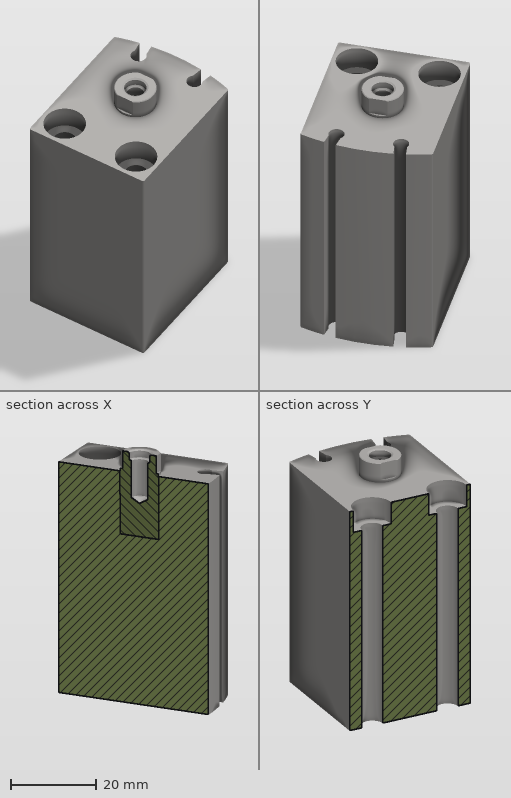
import cadquery as cq
import math

total_height = 62.0
rod_protrusion = 5.0
housing_height = total_height - rod_protrusion
housing_width = 32.0
housing_length = 39.0
back_y = 18.0
front_y = back_y - housing_length
back_radius = 52.1
edge_fillet = 0.45

slot_x = 7.8
slot_depth = 6.5
slot_channel_dia = 3.8
slot_neck_width = 3.0
slot_tilt = 9.0

mount_x = 10.0
mount_y = -15.0
mount_dia = 5.5
mount_head_dia = 10.0
mount_head_depth = 5.6

rod_dia = 10.0
rod_insertion = 15.5
rod_length = rod_protrusion + rod_insertion
rod_bottom_z = housing_height - rod_insertion
rod_chamfer = 0.2
flat_spacing = 8.9
flat_base_height = 0.7
bore_mouth_dia = 6.2
bore_wide_dia = 5.3
bore_drill_dia = 4.15
bore_wide_depth = 1.85
bore_drill_depth = 11.15
bore_cone_angle = 120.0


def make_slot_cutter(side):
    """Sensor slot on one side (-1 or +1), its neck leaning outward towards the back."""
    channel_y = back_y - slot_depth + slot_channel_dia / 2
    neck_length = 2 * slot_depth
    channel = cq.Workplane("XY").circle(slot_channel_dia / 2).extrude(housing_height)
    neck = (
        cq.Workplane("XY")
        .center(0, neck_length / 2)
        .rect(slot_neck_width, neck_length)
        .extrude(housing_height)
    )
    cutter = channel.union(neck)
    cutter = cutter.rotate((0, 0, 0), (0, 0, 1), -side * slot_tilt)
    return cutter.translate((side * slot_x, channel_y, 0))


def make_housing():
    """Block with a curved back, filleted upright edges, slots, mounting holes and rod bore."""
    half_width = housing_width / 2
    arc_drop = back_radius - math.sqrt(back_radius**2 - half_width**2)
    shoulder_y = back_y - arc_drop
    body = (
        cq.Workplane("XY")
        .moveTo(-half_width, front_y)
        .lineTo(half_width, front_y)
        .lineTo(half_width, shoulder_y)
        .threePointArc((0, back_y), (-half_width, shoulder_y))
        .close()
        .extrude(housing_height)
        .edges("|Z")
        .fillet(edge_fillet)
    )
    for side in (-1, 1):
        body = body.cut(make_slot_cutter(side))

    mount_points = [(-mount_x, mount_y), (mount_x, mount_y)]
    body = (
        body.faces(">Z")
        .workplane(origin=(0, 0, housing_height))
        .pushPoints(mount_points)
        .cboreHole(mount_dia, mount_head_dia, mount_head_depth)
    )
    rod_bore = (
        cq.Workplane("XY")
        .workplane(offset=rod_bottom_z)
        .circle(rod_dia / 2)
        .extrude(rod_insertion)
    )
    return body.cut(rod_bore)


def make_bore_cutter():
    """Stepped bore with conical mouth, shoulder and tip, revolved about the rod axis."""
    mouth_r = bore_mouth_dia / 2
    wide_r = bore_wide_dia / 2
    drill_r = bore_drill_dia / 2
    cone_slope = math.tan(math.radians(bore_cone_angle / 2))
    mouth_z = total_height - (mouth_r - wide_r) / cone_slope
    step_z = total_height - bore_wide_depth
    shoulder_z = step_z - (wide_r - drill_r) / cone_slope
    drill_z = total_height - bore_drill_depth
    tip_z = drill_z - drill_r / cone_slope
    profile = [
        (0, total_height),
        (mouth_r, total_height),
        (wide_r, mouth_z),
        (wide_r, step_z),
        (drill_r, shoulder_z),
        (drill_r, drill_z),
        (0, tip_z),
    ]
    return cq.Workplane("XZ").polyline(profile).close().revolve(360, (0, 0, 0), (0, 1, 0))


def make_rod():
    """Round rod with a chamfered end, two wrench flats and the stepped bore."""
    rod = (
        cq.Workplane("XY")
        .workplane(offset=rod_bottom_z)
        .circle(rod_dia / 2)
        .extrude(rod_length)
        .faces(">Z")
        .edges()
        .chamfer(rod_chamfer)
    )
    flat_z = housing_height + flat_base_height
    for side in (-1, 1):
        flat_cutter = (
            cq.Workplane("XY")
            .workplane(offset=flat_z)
            .center(0, side * (flat_spacing + rod_dia) / 2)
            .rect(rod_dia, rod_dia)
            .extrude(total_height - flat_z)
        )
        rod = rod.cut(flat_cutter)
    return rod.cut(make_bore_cutter())


housing = make_housing()
rod = make_rod()
result = cq.Compound.makeCompound([housing.val(), rod.val()])